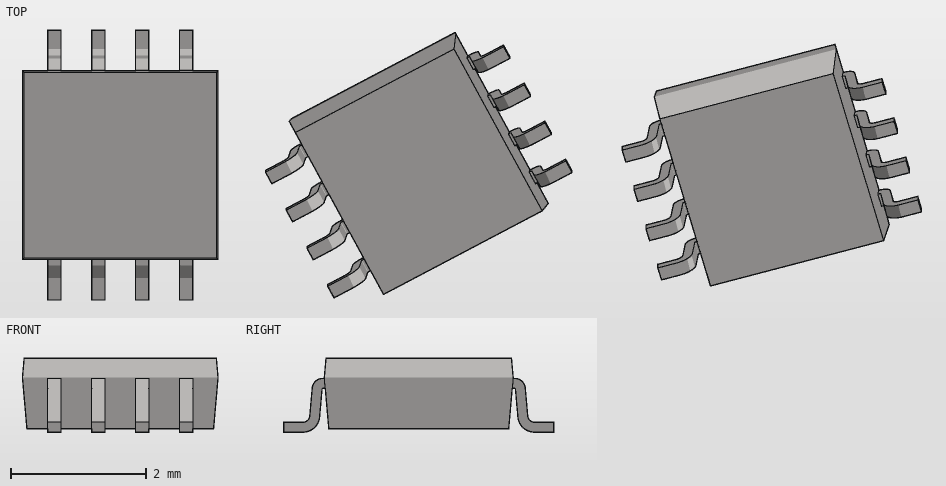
import cadquery as cq
import math

body_length_x = 2.9
body_width_y = 2.8
body_bottom_z = 0.05
parting_z = 0.81
body_top_z = 1.1
draft_angle = 5.0

leads_per_side = 4
lead_pitch = 0.65
lead_width = 0.2
lead_thickness = 0.15
lead_top_z = 0.8
lead_tip_y = 2.0
lead_shoulder_y = 1.42
leg_angle = 5.0
shoulder_inner_radius = 0.01
foot_inner_radius = 0.1


def draft_inset(z):
    """Distance the body wall at height z stands in from the widest section."""
    return abs(z - parting_z) * math.tan(math.radians(draft_angle))


def make_body_half(end_z):
    """Half of the body, narrowing from the widest section to the flat face at end_z."""
    inset = draft_inset(end_z)
    return (
        cq.Workplane("XY", origin=(0, 0, parting_z))
        .rect(body_length_x, body_width_y)
        .workplane(offset=end_z - parting_z)
        .rect(body_length_x - 2 * inset, body_width_y - 2 * inset)
        .loft(ruled=True)
    )


def arc_point(center, radius, angle):
    """Point on a circle in the YZ plane, angle in degrees from +Y."""
    radians = math.radians(angle)
    return (center[0] + radius * math.cos(radians), center[1] + radius * math.sin(radians))


def wall_y(z):
    """Y of the body's +Y wall at height z."""
    return body_width_y / 2 - draft_inset(z)


def make_lead(x_center):
    """Lead on the +Y side, from the body's sloping lower face out to the foot tip."""
    shoulder_outer_radius = shoulder_inner_radius + lead_thickness
    foot_outer_radius = foot_inner_radius + lead_thickness
    shoulder_center = (lead_shoulder_y, lead_top_z - shoulder_outer_radius)
    lead_underside_z = lead_top_z - lead_thickness

    face_top_y = wall_y(lead_top_z)
    face_underside_y = wall_y(lead_underside_z)

    bend_drop = shoulder_center[1] - foot_outer_radius
    bend_radii = shoulder_outer_radius + foot_inner_radius
    leg_radians = math.radians(leg_angle)
    bend_spacing = bend_radii / math.cos(leg_radians) + bend_drop * math.tan(leg_radians)
    foot_center = (lead_shoulder_y + bend_spacing, foot_outer_radius)

    shoulder_end = leg_angle
    shoulder_middle = (90 + shoulder_end) / 2
    foot_start = 180 + leg_angle
    foot_middle = (foot_start + 270) / 2

    profile = (
        cq.Workplane("YZ", origin=(x_center - lead_width / 2, 0, 0))
        .moveTo(face_top_y, lead_top_z)
        .lineTo(lead_shoulder_y, lead_top_z)
        .threePointArc(
            arc_point(shoulder_center, shoulder_outer_radius, shoulder_middle),
            arc_point(shoulder_center, shoulder_outer_radius, shoulder_end),
        )
        .lineTo(*arc_point(foot_center, foot_inner_radius, foot_start))
        .threePointArc(
            arc_point(foot_center, foot_inner_radius, foot_middle),
            arc_point(foot_center, foot_inner_radius, 270),
        )
        .lineTo(lead_tip_y, lead_thickness)
        .lineTo(lead_tip_y, 0)
        .lineTo(foot_center[0], 0)
        .threePointArc(
            arc_point(foot_center, foot_outer_radius, foot_middle),
            arc_point(foot_center, foot_outer_radius, foot_start),
        )
        .lineTo(*arc_point(shoulder_center, shoulder_inner_radius, shoulder_end))
        .threePointArc(
            arc_point(shoulder_center, shoulder_inner_radius, shoulder_middle),
            (lead_shoulder_y, lead_underside_z),
        )
        .lineTo(face_underside_y, lead_underside_z)
        .close()
    )
    return profile.extrude(lead_width)


body = make_body_half(body_top_z).union(make_body_half(body_bottom_z))

leads = []
for index in range(leads_per_side):
    lead = make_lead((index - (leads_per_side - 1) / 2) * lead_pitch)
    leads.append(lead.val())
    leads.append(lead.mirror("XZ").val())

result = cq.Compound.makeCompound([body.val(), *leads])